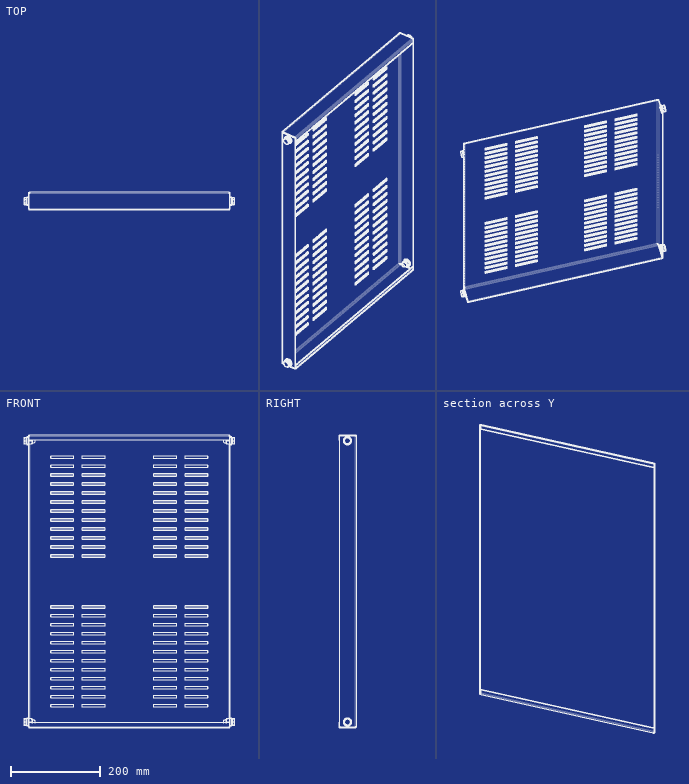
import cadquery as cq

width = 450.0
depth = 40.0
height = 653.0
sheet = 2.0
back_bend_radius = 4.0
lip_bend_radius = 3.0
lip_height = 12.0
side_setback = 1.0
corner_notch = 1.6

slot_length = 50.0
slot_height = 5.0
slot_columns = (79.5, 149.5)
slots_per_column = 12
first_slot_z = 57.0
last_slot_z = 277.0
slot_pitch = (last_slot_z - first_slot_z) / (slots_per_column - 1)

fastener_y = -0.5
fastener_z = 313.5
shank_radius = 6.0
hex_sides = 6
hex_across_corners = 17.0
flange_radius = 9.0
flange_thickness = 2.5
neck_radius = 7.0
neck_end = 5.0
head_end = 10.0
head_face_radius = 6.5
head_chamfer = 1.0
nut_thickness = 6.0
tip_length = 7.0
tip_taper = 5.0
tip_radius = 3.0

sides = (-1, 1)
front_y = -depth / 2
back_y = depth / 2


def make_rounded_block(inset):
    """Tray-shaped block, moved inward from the outer faces by the inset."""
    block = cq.Workplane("XY").box(width - 2 * inset, depth - 2 * inset, height - 2 * inset)
    block = block.faces(">Y").edges().fillet(back_bend_radius - inset)
    return block.faces("<Y").edges("|X").fillet(lip_bend_radius - inset)


def make_tray_shell():
    """Open-fronted tray with rounded bends and a lip along its top and bottom."""
    outer = make_rounded_block(0)
    inner = make_rounded_block(sheet)
    return outer.cut(inner)


def make_front_opening():
    """Cutter that opens the front between the two lips."""
    opening = cq.Workplane("XY").box(
        width - 2 * sheet, 2 * lip_bend_radius, height - 2 * lip_height
    )
    return opening.translate((0, front_y, 0))


def make_side_setback():
    """Cutter that trims the front edges of both side walls."""
    front_edges = [(-width / 2, front_y), (width / 2, front_y)]
    strips = cq.Workplane("XY").pushPoints(front_edges).rect(2 * sheet, 2 * side_setback)
    return strips.extrude(height / 2, both=True)


def make_corner_notches():
    """Cutter for the stepped joint along the four outer corners."""
    corners = cq.Workplane("XZ").rect(width, height, forConstruction=True).vertices()
    return corners.rect(2 * corner_notch, 2 * corner_notch).extrude(depth, both=True)


def make_slots():
    """Cutter for all the ventilation slots."""
    points = []
    for column_x in slot_columns:
        for row in range(slots_per_column):
            row_z = first_slot_z + row * slot_pitch
            points += [(sx * column_x, sz * row_z) for sx in sides for sz in sides]
    back_plane = cq.Workplane("XZ", origin=(0, back_y, 0))
    return back_plane.pushPoints(points).rect(slot_length, slot_height).extrude(2 * sheet, both=True)


def make_bolt_holes():
    """Cutter through both side walls for the four bolts."""
    centres = [(fastener_y, -fastener_z), (fastener_y, fastener_z)]
    return cq.Workplane("YZ").pushPoints(centres).circle(shank_radius).extrude(width, both=True)


def make_tray():
    """Sheet-metal tray with slots, stepped corners and bolt holes."""
    tray = make_tray_shell()
    tray = tray.cut(make_front_opening())
    tray = tray.cut(make_side_setback())
    tray = tray.cut(make_corner_notches())
    tray = tray.cut(make_slots())
    return tray.cut(make_bolt_holes())


def revolve_about_x(outline):
    """Turn an outline of (x, radius) points about the X axis."""
    return cq.Workplane("XY").polyline(outline).close().revolve(360, (0, 0), (1, 0))


def place_fastener(body, side_x, side_z):
    """Turn a body made along +X from the wall's outer face onto one of the corners."""
    if side_x < 0:
        body = body.rotate((0, 0, 0), (0, 0, 1), 180)
    return body.translate((side_x * width / 2, fastener_y, side_z * fastener_z))


def make_bolt():
    """Flanged bolt with a bevelled hexagonal head and a tapered end beyond the nut."""
    nut_end = -sheet - nut_thickness
    shank_outline = [
        (nut_end - tip_length, 0),
        (nut_end - tip_length, tip_radius),
        (nut_end - tip_length + tip_taper, shank_radius),
        (0, shank_radius),
        (0, flange_radius),
        (flange_thickness, flange_radius),
        (flange_thickness, neck_radius),
        (neck_end, neck_radius),
        (neck_end, 0),
    ]
    bevel_outline = [
        (neck_end, 0),
        (neck_end, hex_across_corners / 2),
        (head_end - head_chamfer, hex_across_corners / 2),
        (head_end, head_face_radius),
        (head_end, 0),
    ]
    hexagon = cq.Workplane("YZ", origin=(neck_end, 0, 0)).polygon(hex_sides, hex_across_corners)
    head = hexagon.extrude(head_end - neck_end).intersect(revolve_about_x(bevel_outline))
    return revolve_about_x(shank_outline).union(head)


def make_nut():
    """Hexagonal nut against the wall's inner face."""
    hexagon = cq.Workplane("YZ", origin=(-sheet, 0, 0)).polygon(hex_sides, hex_across_corners)
    return hexagon.circle(shank_radius).extrude(-nut_thickness)


tray = make_tray()
bolts = []
nuts = []
for side_x in sides:
    for side_z in sides:
        bolts.append(place_fastener(make_bolt(), side_x, side_z).val())
        nuts.append(place_fastener(make_nut(), side_x, side_z).val())

result = cq.Compound.makeCompound([tray.val(), *bolts, *nuts])